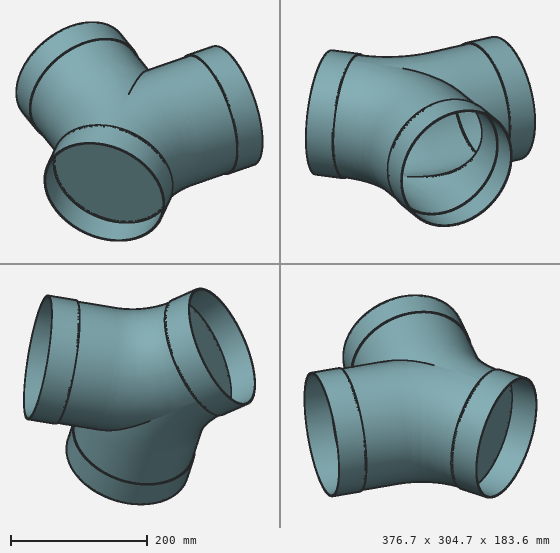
import cadquery as cq
import math

PIPE_DIAMETER = 180.0
WALL = 1.8
BEND_RADIUS = 180.0
BEND_ANGLE = 45.0
BRANCH_LENGTH = 100.0
SOCKET_DEPTH = 40.0

PIPE_RADIUS = PIPE_DIAMETER / 2
BORE_RADIUS = PIPE_RADIUS - WALL
COLLAR_RADIUS = PIPE_RADIUS + WALL
COLLAR_LENGTH = SOCKET_DEPTH + WALL

LEFT = -1
RIGHT = 1
SIDES = (LEFT, RIGHT)


def branch_axis(side):
    """Unit vector along the straight part of a branch."""
    angle = math.radians(BEND_ANGLE)
    return cq.Vector(side * math.sin(angle), math.cos(angle), 0)


def bend_end(side):
    """Centre of the pipe where the bend meets the straight part."""
    angle = math.radians(BEND_ANGLE)
    offset = side * BEND_RADIUS * (1 - math.cos(angle))
    return cq.Vector(offset, BEND_RADIUS * math.sin(angle), 0)


def rod(radius, start, axis, length):
    return cq.Workplane(obj=cq.Solid.makeCylinder(radius, length, start, axis))


def bend(radius, side):
    """Solid torus segment from the inlet to the start of a straight branch."""
    centre_x = side * BEND_RADIUS
    return (
        cq.Workplane("XZ")
        .circle(radius)
        .revolve(BEND_ANGLE, (centre_x, 0, 0), (centre_x, -side, 0))
    )


def branch(radius, side):
    """Solid bend followed by its straight outlet."""
    straight = rod(radius, bend_end(side), branch_axis(side), BRANCH_LENGTH)
    return bend(radius, side).union(straight)


def outlet_collar(side):
    start = bend_end(side) + branch_axis(side) * (BRANCH_LENGTH - COLLAR_LENGTH)
    return rod(COLLAR_RADIUS, start, branch_axis(side), COLLAR_LENGTH)


def outlet_socket(side):
    start = bend_end(side) + branch_axis(side) * (BRANCH_LENGTH - SOCKET_DEPTH)
    return rod(PIPE_RADIUS, start, branch_axis(side), SOCKET_DEPTH)


def inlet_cup():
    """Inlet collar, closed at its inner end by a wall-thick disc."""
    inward = cq.Vector(0, 1, 0)
    mouth = cq.Vector(0, -COLLAR_LENGTH, 0)
    collar = rod(COLLAR_RADIUS, mouth, inward, COLLAR_LENGTH)
    return collar.cut(rod(PIPE_RADIUS, mouth, inward, SOCKET_DEPTH))


def hollow_branches():
    """Both branches with their collars, bored through into one cavity."""
    shell = branch(PIPE_RADIUS, LEFT).union(branch(PIPE_RADIUS, RIGHT))
    for side in SIDES:
        shell = shell.union(outlet_collar(side))
    for side in SIDES:
        shell = shell.cut(branch(BORE_RADIUS, side)).cut(outlet_socket(side))
    return shell


result = hollow_branches().union(inlet_cup()).solids()